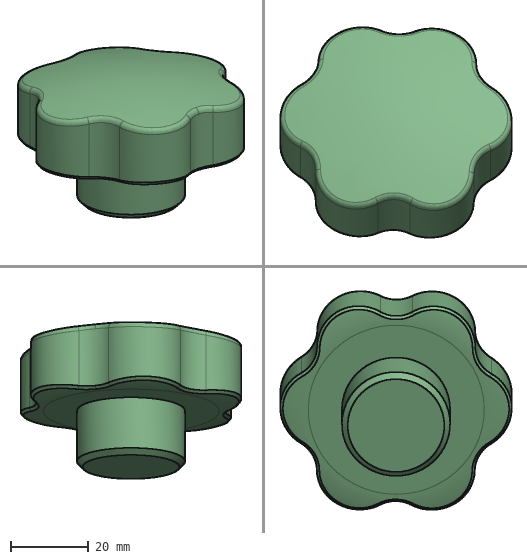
import cadquery as cq
import math

lobe_count = 6
tip_radius = 30.0
lobe_radius = 11.0
valley_radius = 8.4
total_height = 35.0
head_bottom = 15.0
dome_radius = 113.95
top_fillet = 1.5
underside_flat = 22.8
underside_curve = 30.0
underside_chamfer = 0.7
shank_diameter = 28.0
shank_chamfer = 1.5

pitch = 360.0 / lobe_count
lobe_distance = tip_radius - lobe_radius
half_gap = lobe_distance * math.sin(math.radians(pitch / 2))
gap_middle = lobe_distance * math.cos(math.radians(pitch / 2))
center_distance = lobe_radius + valley_radius
valley_distance = gap_middle + math.sqrt(center_distance**2 - half_gap**2)
valley_bottom = valley_distance - valley_radius

tangent_share = lobe_radius / center_distance
hollow_angle = math.radians(pitch / 2)
hollow_x = valley_distance * math.cos(hollow_angle)
hollow_y = valley_distance * math.sin(hollow_angle)
tangent_x = lobe_distance + tangent_share * (hollow_x - lobe_distance)
tangent_y = tangent_share * hollow_y
tangent_radius = math.hypot(tangent_x, tangent_y)
tangent_angle = math.degrees(math.atan2(tangent_y, tangent_x))


def polar(radius, degrees):
    angle = math.radians(degrees)
    return (radius * math.cos(angle), radius * math.sin(angle))


def lobed_prism():
    first_lobe = 90.0
    outline = cq.Workplane("XY").moveTo(*polar(tangent_radius, first_lobe - tangent_angle))
    for i in range(lobe_count):
        lobe = first_lobe + i * pitch
        outline = outline.threePointArc(
            polar(tip_radius, lobe), polar(tangent_radius, lobe + tangent_angle)
        )
        outline = outline.threePointArc(
            polar(valley_bottom, lobe + pitch / 2),
            polar(tangent_radius, lobe + pitch - tangent_angle),
        )
    return outline.close().extrude(total_height)


def head_envelope():
    """Revolved body with the domed top and the upswept rim of the underside."""
    rim_margin = 3.0
    rim = tip_radius + rim_margin

    def dome_height(radius):
        return total_height - dome_radius + math.sqrt(dome_radius**2 - radius**2)

    def underside_height(radius):
        run = radius - underside_flat
        return head_bottom + underside_curve - math.sqrt(underside_curve**2 - run**2)

    underside_middle = (underside_flat + rim) / 2
    return (
        cq.Workplane("XZ")
        .moveTo(0, head_bottom)
        .lineTo(underside_flat, head_bottom)
        .threePointArc(
            (underside_middle, underside_height(underside_middle)),
            (rim, underside_height(rim)),
        )
        .lineTo(rim, dome_height(rim))
        .threePointArc((rim / 2, dome_height(rim / 2)), (0, total_height))
        .close()
        .revolve(360, (0, 0), (0, 1))
    )


def head():
    body = lobed_prism().intersect(head_envelope())
    body = body.faces(">Z").edges().fillet(top_fillet)
    lower_rim = cq.selectors.BoxSelector(
        (-tip_radius, -tip_radius, head_bottom),
        (tip_radius, tip_radius, (head_bottom + total_height) / 2),
    )
    rim_edges = body.edges("not |Z").edges(lower_rim).edges("not %CIRCLE")
    return body.newObject(rim_edges.vals()).chamfer(underside_chamfer)


def shank():
    overlap = 1.2
    return (
        cq.Workplane("XY")
        .circle(shank_diameter / 2)
        .extrude(head_bottom + overlap)
        .faces("<Z")
        .chamfer(shank_chamfer)
    )


result = head().union(shank())